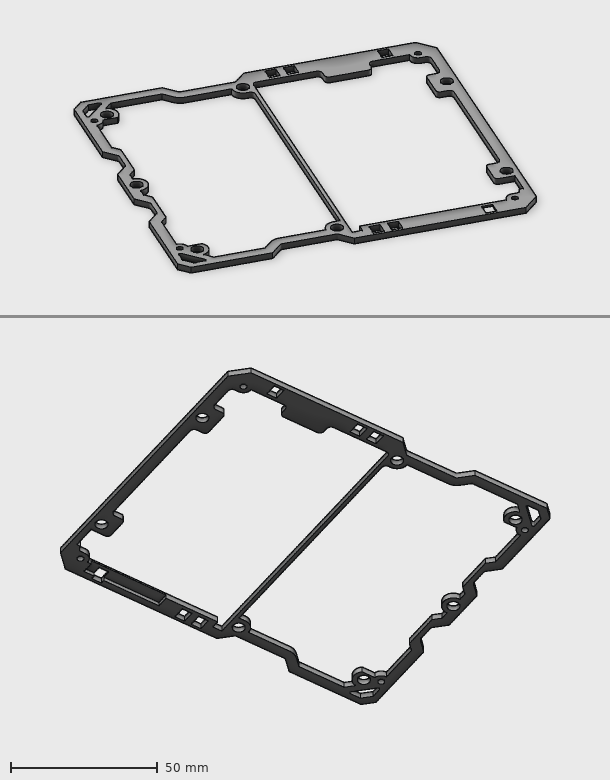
import cadquery as cq
import math

width = 115.0
length = 130.0
thickness = 2.3
half_width = width / 2
half_length = length / 2

top_chamfer = 5.7
bottom_chamfer = 3.6
waist_depth = 4.5
waist_top = -2.6
waist_bottom = -32.0
waist_round = 1.0

upper_side = 50.6
upper_top = 61.0
upper_bottom = -2.0
inner_round = 1.7
tab_round = 1.4
left_tab_x = -29.9
right_tab_x = 32.5
top_tab_half_width = 6.0
top_tab_end = 55.4
relief_left = 36.5
relief_right = 45.4
relief_top = 62.5
side_tab_end = -45.5
side_tab_bottom = 22.8
side_tab_top = 39.8
corner_notch_side = 53.5
corner_notch_top = 1.7

lower_top = -3.4
rail_width = 3.9
waist_inner_round = 5.2
waist_slope_drop = 1.4
corner_brace_top = -51.9
joggle_inner_near = 7.0
joggle_inner_far = 26.0
joggle_outer_near = 8.6
joggle_outer_far = 24.3
joggle_inner_rise = 2.5
joggle_outer_rise = 4.4
joggle_round = 1.3

large_hole_radius = 2.2
small_hole_radius = 1.2
large_boss_radius = 4.0
small_boss_radius = 3.0
upper_pin_x = 50.5
upper_pin_y = 57.7
waist_hole_x = 49.0
waist_hole_y = -5.8
lower_hole_x = 46.9
lower_hole_y = -55.5
lower_boss_flat_x = 44.0
lower_pin_x = 44.5
lower_pin_y = -61.0

slot_x = 54.2
slot_width = 4.5
slot_length = 3.9
slot_centres_y = (47.2, 13.3, 6.6)

corner_window_wall = 2.5
corner_window_top = -55.0
corner_window_inner = 47.6
corner_window_tip = 0.8
corner_window_chamfer = 3.1
corner_window_round = 0.4

recess_outer = 55.0
recess_bottom = side_tab_bottom
recess_top = 53.3
recess_depth = 1.5

smallest_edge = 1.3e-06


def rounded_outline(corners):
    """Closed wire through (x, y) corners; a third entry rounds that corner with an arc."""
    entries = []
    count = len(corners)
    for i, corner in enumerate(corners):
        point = cq.Vector(corner[0], corner[1])
        if len(corner) == 2:
            entries.append((point,))
            continue
        radius = corner[2]
        back = (cq.Vector(*corners[i - 1][:2]) - point).normalized()
        ahead = (cq.Vector(*corners[(i + 1) % count][:2]) - point).normalized()
        half_angle = back.getAngle(ahead) / 2
        setback = radius / math.tan(half_angle)
        bulge = radius / math.sin(half_angle) - radius
        middle = point + (back + ahead).normalized() * bulge
        entries.append((point + back * setback, middle, point + ahead * setback))

    pen = entries[0][-1]
    outline = cq.Workplane("XY").moveTo(pen.x, pen.y)
    for entry in entries[1:] + entries[:1]:
        if (entry[0] - pen).Length > smallest_edge:
            outline = outline.lineTo(entry[0].x, entry[0].y)
        if len(entry) == 3:
            outline = outline.threePointArc(entry[1].toTuple()[:2], entry[2].toTuple()[:2])
        pen = entry[-1]
    return outline.close()


def prism(corners):
    return rounded_outline(corners).extrude(thickness)


def mirrored(right_half):
    """Complete an outline that runs down the +X side with its -X mirror image."""
    return right_half + [(-c[0], *c[1:]) for c in reversed(right_half)]


def cylinders(centres, radius):
    return cq.Workplane("XY").pushPoints(centres).circle(radius).extrude(thickness)


def both_sides(x, y):
    return [(-x, y), (x, y)]


def outer_plate():
    waist_x = half_width - waist_depth
    return prism(mirrored([
        (half_width - top_chamfer, half_length),
        (half_width, half_length - top_chamfer),
        (half_width, waist_top),
        (waist_x, waist_top - waist_depth, waist_round),
        (waist_x, waist_bottom + waist_depth, waist_round),
        (half_width, waist_bottom),
        (half_width, bottom_chamfer - half_length),
        (half_width - bottom_chamfer, -half_length),
        (joggle_outer_far, -half_length),
        (joggle_outer_far - joggle_outer_rise, joggle_outer_rise - half_length, joggle_round),
        (joggle_outer_near + joggle_outer_rise, joggle_outer_rise - half_length, joggle_round),
        (joggle_outer_near, -half_length),
    ]))


def upper_opening():
    pin_side = upper_pin_x - small_boss_radius
    pin_bottom = upper_pin_y - small_boss_radius
    return prism([
        (-upper_side, upper_bottom, tab_round),
        (-upper_side, side_tab_bottom, inner_round),
        (side_tab_end, side_tab_bottom, inner_round),
        (side_tab_end, side_tab_top, inner_round),
        (-upper_side, side_tab_top, inner_round),
        (-upper_side, pin_bottom),
        (-pin_side, pin_bottom, small_boss_radius),
        (-pin_side, upper_top, inner_round),
        (left_tab_x - top_tab_half_width, upper_top, inner_round),
        (left_tab_x - top_tab_half_width, top_tab_end, tab_round),
        (left_tab_x + top_tab_half_width, top_tab_end, tab_round),
        (left_tab_x + top_tab_half_width, upper_top, inner_round),
        (right_tab_x - top_tab_half_width, upper_top, inner_round),
        (right_tab_x - top_tab_half_width, top_tab_end, tab_round),
        (relief_left, top_tab_end, tab_round),
        (relief_left, relief_top),
        (relief_right, relief_top),
        (relief_right, upper_top),
        (pin_side, upper_top, inner_round),
        (pin_side, pin_bottom, small_boss_radius),
        (upper_side, pin_bottom),
        (upper_side, corner_notch_top),
        (corner_notch_side, corner_notch_top),
        (corner_notch_side, upper_bottom),
    ])


def lower_opening():
    side = half_width - rail_width
    bottom = rail_width - half_length
    waist_side = side - waist_depth
    waist_slope_end = waist_bottom - waist_slope_drop
    boss_side = waist_hole_x - large_boss_radius
    boss_bottom = waist_hole_y - large_boss_radius
    right_half = [
        (boss_side, lower_top),
        (boss_side, boss_bottom, large_boss_radius),
        (waist_side, boss_bottom),
        (waist_side, waist_slope_end + waist_depth, waist_inner_round),
        (side, waist_slope_end),
        (side, corner_brace_top),
        (side - (corner_brace_top - bottom), bottom),
        (joggle_inner_far, bottom),
        (joggle_inner_far - joggle_inner_rise, bottom + joggle_inner_rise),
        (joggle_inner_near + joggle_inner_rise, bottom + joggle_inner_rise),
        (joggle_inner_near, bottom),
    ]
    outline = mirrored(right_half)
    outline[-1] = (-boss_side, lower_top, inner_round)
    return prism(outline)


def lower_bosses():
    """Bosses standing into the lower opening; the outer pair is flattened on its inner side."""
    corner_bosses = cylinders(both_sides(lower_hole_x, lower_hole_y), large_boss_radius)
    between_flats = cq.Workplane("XY").box(
        2 * lower_boss_flat_x, length, thickness, centered=(True, True, False)
    )
    pin_bosses = cylinders(both_sides(lower_pin_x, lower_pin_y), small_boss_radius)
    middle_boss = cylinders([(0, rail_width - half_length)], large_boss_radius)
    return corner_bosses.cut(between_flats).union(pin_bosses).union(middle_boss)


def screw_holes():
    large_centres = [
        (left_tab_x, upper_top),
        (right_tab_x, upper_top),
        (0, rail_width - half_length),
        *both_sides(waist_hole_x, waist_hole_y),
        *both_sides(lower_hole_x, lower_hole_y),
    ]
    small_centres = both_sides(upper_pin_x, upper_pin_y) + both_sides(lower_pin_x, lower_pin_y)
    return cylinders(large_centres, large_hole_radius).union(cylinders(small_centres, small_hole_radius))


def rail_slots():
    centres = [point for y in slot_centres_y for point in both_sides(slot_x, y)]
    return cq.Workplane("XY").pushPoints(centres).rect(slot_width, slot_length).extrude(thickness)


def corner_windows():
    side = half_width - corner_window_wall
    bottom = corner_window_wall - half_length
    right = prism([
        (side, corner_window_top, corner_window_round),
        (side, bottom + corner_window_chamfer),
        (side - corner_window_chamfer, bottom),
        (corner_window_inner, bottom, corner_window_round),
        (corner_window_inner, bottom + corner_window_tip, corner_window_round),
        (side - corner_window_tip, corner_window_top, corner_window_round),
    ])
    return right.union(right.mirror("YZ"))


def rail_recess():
    return cq.Workplane("XY").box(
        recess_outer - upper_side, recess_top - recess_bottom, recess_depth, centered=False
    ).translate((upper_side, recess_bottom, 0))


plate = outer_plate()
frame = plate.cut(upper_opening()).cut(lower_opening())
frame = frame.union(lower_bosses().intersect(plate))
result = frame.cut(screw_holes()).cut(rail_slots()).cut(corner_windows()).cut(rail_recess())